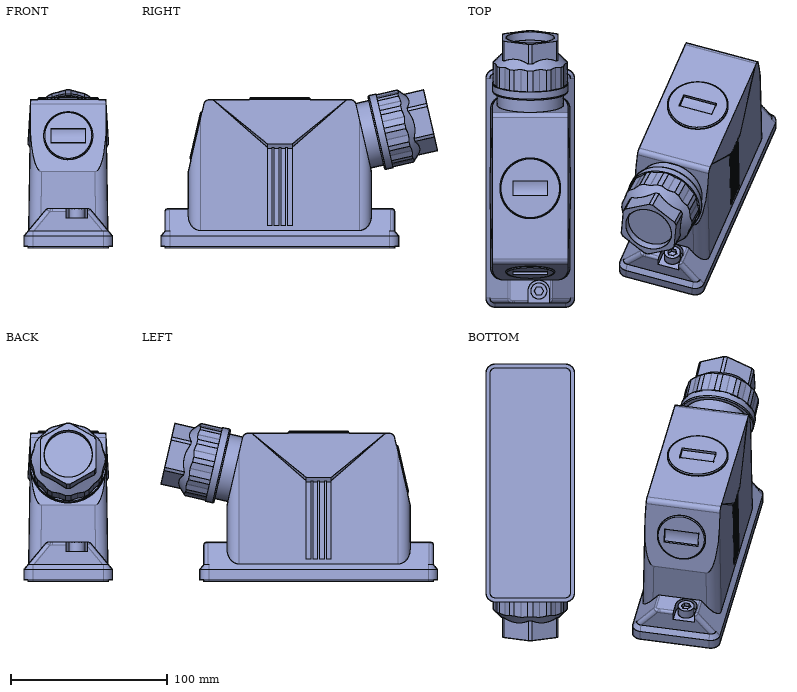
import cadquery as cq
import math

HEX_SIDES = 6

BASE_WIDTH = 57.0
BASE_LENGTH = 152.6
BASE_CORNER_RADIUS = 6.0
BASE_INSET = 2.7
LIP_HEIGHT = 1.0
SLAB_TOP = 7.6
SHOULDER_TOP = 10.8

RIDGE_TOP = 25.2
RIDGE_END_RADIUS = 2.8
RIDGE_TOP_RADIUS = 1.8

SCREW_X = 5.5
SCREW_Y = -65.8
SCREW_TURNS = (0, 180)
SCREW_RADIUS = 5.1
SOCKET_DIAMETER = 6.0
SOCKET_DEPTH = 2.7
POCKET_RADIUS = 7.0
POCKET_FLOOR = 19.2

HOOD_LENGTH = 117.5
HOOD_TOP = 95.1
HOOD_BOTTOM_WIDTH = 51.0
HOOD_TOP_WIDTH = 48.3
HOOD_CORNER_RADIUS = 7.8
END_TILT = 13.0
KNEE_HEIGHT = 49.0
TOP_EDGE_RADIUS = 3.5
PORT_DISTANCE = 23.6

WEDGE_TOP_LENGTH = 85.9
WEDGE_BOTTOM_LENGTH = 16.0
WEDGE_BOTTOM = 66.7
WEDGE_HALF_WIDTH = 26.0
LEDGE_DROP = 2.1
GROOVE_COUNT = 4
GROOVE_WIDTH = 3.0
GROOVE_BOTTOM = 14.5
GROOVE_DEPTH = 0.5

TOP_DISC_DIAMETER = 39.0
TOP_DISC_HEIGHT = 1.2
END_DISC_DIAMETER = 31.6
END_DISC_HEIGHT = 0.9
DISC_CHAMFER = 0.7
SLOT_LENGTH = 22.2
SLOT_WIDTH = 9.4
SLOT_WALL = 1.8
SLOT_DEPTH = 2.7

NECK_RADIUS = 21.3
NECK_LENGTH = 8.5
COLLAR_RADIUS = 24.3
COLLAR_LENGTH = 5.5
COLLAR_BEVEL_DEPTH = 0.5
COLLAR_BEVEL_LENGTH = 0.9
GRIP_RADIUS = 23.8
GRIP_LENGTH = 13.7
GRIP_VALLEY_RADIUS = 23.0
RIB_COUNT = 12
RIB_HALF_ANGLE = 4.0
CONE_LENGTH = 5.9
HEX_FLATS = 35.9
HEX_CORNER_RADIUS = 20.0
GLAND_LENGTH = 44.4
BORE_RADIUS = 15.5
BORE_DEPTH = 5.3

TILT_SIN = math.sin(math.radians(END_TILT))
TILT_COS = math.cos(math.radians(END_TILT))
HOOD_TOP_LENGTH = HOOD_LENGTH - 2 * (HOOD_TOP - KNEE_HEIGHT) * TILT_SIN / TILT_COS
PORT_Y = HOOD_LENGTH / 2 - PORT_DISTANCE * TILT_SIN
PORT_Z = KNEE_HEIGHT + PORT_DISTANCE * TILT_COS


def hood_half_width(z):
    """Distance from the centre plane to a side wall at height z."""
    rise = (z - SHOULDER_TOP) / (HOOD_TOP - SHOULDER_TOP)
    return (HOOD_BOTTOM_WIDTH + rise * (HOOD_TOP_WIDTH - HOOD_BOTTOM_WIDTH)) / 2


def port_plane(side):
    """Plane at the middle of a sloping end, facing outwards; side is +1 for +Y and -1 for -Y."""
    return cq.Plane(
        origin=(0, side * PORT_Y, PORT_Z),
        xDir=(1, 0, 0),
        normal=(0, side * TILT_COS, TILT_SIN),
    )


def turned_about_z(shape, degrees):
    return shape.rotate((0, 0, 0), (0, 0, 1), degrees)


def rounded_block(inset, bottom, top, taper=0):
    """Base outline moved in by inset and extruded between two heights."""
    return (
        cq.Workplane("XY")
        .workplane(offset=bottom)
        .sketch()
        .rect(BASE_WIDTH - 2 * inset, BASE_LENGTH - 2 * inset)
        .vertices()
        .fillet(BASE_CORNER_RADIUS - inset)
        .finalize()
        .extrude(top - bottom, taper=taper)
    )


def base_ridge():
    """Ridge whose flanks continue the slope of the shoulder below."""
    foot = BASE_WIDTH / 2 - BASE_INSET
    crest = foot - (RIDGE_TOP - SHOULDER_TOP) * BASE_INSET / (SHOULDER_TOP - SLAB_TOP)
    length = BASE_LENGTH - 2 * BASE_INSET
    ridge = (
        cq.Workplane("XZ")
        .polyline([(-foot, SHOULDER_TOP), (foot, SHOULDER_TOP), (crest, RIDGE_TOP), (-crest, RIDGE_TOP)])
        .close()
        .extrude(length / 2, both=True)
    )
    ridge = ridge.edges("(not #Z) and (not |X) and (not |Y)").fillet(RIDGE_END_RADIUS)
    return ridge.faces(">Z").edges().fillet(RIDGE_TOP_RADIUS)


def base():
    shoulder_taper = math.degrees(math.atan2(BASE_INSET, SHOULDER_TOP - SLAB_TOP))
    return (
        rounded_block(BASE_INSET, 0, LIP_HEIGHT)
        .union(rounded_block(0, LIP_HEIGHT, SLAB_TOP))
        .union(rounded_block(0, SLAB_TOP, SHOULDER_TOP, shoulder_taper))
        .union(base_ridge())
    )


def screw_pocket():
    """Round-ended pocket, open towards the -Y end of the base."""
    height = RIDGE_TOP - POCKET_FLOOR
    run_out = BASE_LENGTH / 2 + SCREW_Y
    floor = cq.Workplane("XY", origin=(SCREW_X, SCREW_Y, POCKET_FLOOR))
    round_end = floor.circle(POCKET_RADIUS).extrude(height)
    channel = floor.center(0, -run_out / 2).rect(2 * POCKET_RADIUS, run_out).extrude(height)
    return round_end.union(channel)


def hood_shell():
    bottom = hood_half_width(SLAB_TOP)
    top = HOOD_TOP_WIDTH / 2
    block = (
        cq.Workplane("XZ")
        .polyline([(-bottom, SLAB_TOP), (bottom, SLAB_TOP), (top, HOOD_TOP), (-top, HOOD_TOP)])
        .close()
        .extrude(HOOD_LENGTH / 2, both=True)
        .edges("not (|X or |Y)")
        .fillet(HOOD_CORNER_RADIUS)
    )
    end = HOOD_LENGTH / 2
    top_end = HOOD_TOP_LENGTH / 2
    side_outline = (
        cq.Workplane("YZ")
        .polyline(
            [(-end, SLAB_TOP), (end, SLAB_TOP), (end, KNEE_HEIGHT),
             (top_end, HOOD_TOP), (-top_end, HOOD_TOP), (-end, KNEE_HEIGHT)]
        )
        .close()
        .extrude(BASE_WIDTH / 2, both=True)
        .faces(">Z")
        .edges("|X")
        .fillet(TOP_EDGE_RADIUS)
    )
    return block.intersect(side_outline)


def grip_wedge():
    """Wedge on the -X wall that thickens downwards and ends in a sloping ledge."""
    ledge_foot = WEDGE_BOTTOM - LEDGE_DROP
    top_x = -hood_half_width(HOOD_TOP)
    foot_x = -hood_half_width(ledge_foot)

    def pair(x, length, z):
        return [cq.Vector(x, -length / 2, z), cq.Vector(x, length / 2, z)]

    top = pair(top_x, WEDGE_TOP_LENGTH, HOOD_TOP)
    lip = pair(-WEDGE_HALF_WIDTH, WEDGE_BOTTOM_LENGTH, WEDGE_BOTTOM)
    foot = pair(foot_x, WEDGE_BOTTOM_LENGTH, ledge_foot)
    outlines = [
        [top[0], top[1], lip[1], lip[0]],
        [lip[0], lip[1], foot[1], foot[0]],
        [foot[0], foot[1], top[1], top[0]],
        [top[0], lip[0], foot[0]],
        [top[1], foot[1], lip[1]],
    ]
    faces = [cq.Face.makeFromWires(cq.Wire.makePolygon(points, close=True)) for points in outlines]
    return cq.Workplane(cq.Solid.makeSolid(cq.Shell.makeShell(faces)))


def grip_grooves():
    """Shallow upright grooves in the -X wall, following its lean and ending under the wedge."""
    top = WEDGE_BOTTOM
    floor_top = GROOVE_DEPTH - hood_half_width(top)
    floor_bottom = GROOVE_DEPTH - hood_half_width(GROOVE_BOTTOM)
    ledge_slope = LEDGE_DROP / (WEDGE_HALF_WIDTH - hood_half_width(WEDGE_BOTTOM - LEDGE_DROP))
    outer = -WEDGE_HALF_WIDTH
    floor_end = top - ledge_slope * (floor_top - outer)
    pitch = (WEDGE_BOTTOM_LENGTH - GROOVE_WIDTH) / (GROOVE_COUNT - 1)
    grooves = cq.Workplane("XZ")
    for index in range(GROOVE_COUNT):
        center_y = (index - (GROOVE_COUNT - 1) / 2) * pitch
        groove = (
            cq.Workplane("XZ", origin=(0, center_y, 0))
            .polyline(
                [(outer, GROOVE_BOTTOM), (floor_bottom, GROOVE_BOTTOM), (floor_top, floor_end), (outer, top)]
            )
            .close()
            .extrude(GROOVE_WIDTH / 2, both=True)
        )
        grooves = grooves.add(groove)
    return grooves.combine()


def blanking_disc(plane, diameter, height):
    """Low chamfered disc standing on the plane."""
    return (
        cq.Workplane(plane)
        .circle(diameter / 2)
        .extrude(height)
        .faces(cq.selectors.DirectionMinMaxSelector(plane.zDir))
        .edges()
        .chamfer(DISC_CHAMFER)
    )


def coin_slot(plane, height):
    """Slot with a hollowed floor, sunk into a disc of the given height."""
    side = SLOT_WIDTH / 2
    wall_foot = height - SLOT_WALL
    across = cq.Plane(origin=plane.origin, xDir=plane.yDir, normal=plane.xDir)
    return (
        cq.Workplane(across)
        .moveTo(-side, height)
        .lineTo(side, height)
        .lineTo(side, wall_foot)
        .threePointArc((0, height - SLOT_DEPTH), (-side, wall_foot))
        .close()
        .extrude(SLOT_LENGTH / 2, both=True)
    )


def polar(radius, degrees):
    angle = math.radians(degrees)
    return (radius * math.cos(angle), radius * math.sin(angle))


def ribbed_prism(plane, length):
    """Prism with narrow ribs, between which two flats meet in a shallow valley."""
    step = 360 / RIB_COUNT
    points = []
    for index in range(RIB_COUNT):
        points.append(polar(GRIP_RADIUS, index * step - RIB_HALF_ANGLE))
        points.append(polar(GRIP_RADIUS, index * step + RIB_HALF_ANGLE))
        points.append(polar(GRIP_VALLEY_RADIUS, (index + 0.5) * step))
    return cq.Workplane(plane).polyline(points).close().extrude(length)


def rounded_hexagon(plane, length):
    """Hexagon with two flats facing X and its corners rounded to a cylinder."""
    step = 360 / HEX_SIDES
    corner = HEX_FLATS / 2 / math.cos(math.radians(step / 2))
    points = [polar(corner, (index + 0.5) * step) for index in range(HEX_SIDES)]
    hexagon = cq.Workplane(plane).polyline(points).close().extrude(length)
    return hexagon.intersect(cq.Workplane(plane).circle(HEX_CORNER_RADIUS).extrude(length))


def cable_gland():
    """Neck, collar, ribbed grip and hexagon standing on the +Y end, with a blind cable bore."""
    plane = port_plane(1)
    collar_end = NECK_LENGTH + COLLAR_LENGTH
    grip_end = collar_end + GRIP_LENGTH
    cone_end = grip_end + CONE_LENGTH

    half_plane = cq.Plane(origin=plane.origin, xDir=plane.xDir, normal=plane.yDir * -1)

    def turned(profile):
        """Solid of revolution about the gland's axis from (radius, distance along the axis) points."""
        return cq.Workplane(half_plane).polyline(profile).close().revolve(360, (0, 0), (0, 1))

    body = turned([
        (0, 0), (NECK_RADIUS, 0), (NECK_RADIUS, NECK_LENGTH),
        (COLLAR_RADIUS - COLLAR_BEVEL_DEPTH, NECK_LENGTH), (COLLAR_RADIUS, NECK_LENGTH + COLLAR_BEVEL_LENGTH),
        (COLLAR_RADIUS, collar_end), (0, collar_end),
    ])
    grip_envelope = turned([
        (0, 0), (GRIP_RADIUS, 0), (GRIP_RADIUS, grip_end), (HEX_FLATS / 2, cone_end), (0, cone_end),
    ])
    grip_plane = cq.Plane(plane.toWorldCoords((0, 0, collar_end)), plane.xDir, plane.zDir)
    grip = ribbed_prism(grip_plane, cone_end - collar_end).intersect(grip_envelope)
    bore = turned([
        (0, GLAND_LENGTH - BORE_DEPTH), (BORE_RADIUS, GLAND_LENGTH - BORE_DEPTH),
        (BORE_RADIUS, GLAND_LENGTH), (0, GLAND_LENGTH),
    ])
    return body.union(grip).union(rounded_hexagon(plane, GLAND_LENGTH)).cut(bore)


def make_housing():
    pocket = screw_pocket()
    housing = base()
    for turn in SCREW_TURNS:
        housing = housing.cut(turned_about_z(pocket, turn))
    housing = housing.union(hood_shell())
    wedge = grip_wedge()
    grooves = grip_grooves()
    housing = housing.union(wedge).union(wedge.mirror("YZ"))
    housing = housing.cut(grooves).cut(grooves.mirror("YZ"))
    discs = [
        (cq.Plane.XY(origin=(0, 0, HOOD_TOP)), TOP_DISC_DIAMETER, TOP_DISC_HEIGHT),
        (port_plane(-1), END_DISC_DIAMETER, END_DISC_HEIGHT),
    ]
    for plane, diameter, height in discs:
        housing = housing.union(blanking_disc(plane, diameter, height))
        housing = housing.cut(coin_slot(plane, height))
    return housing.union(cable_gland())


def make_screw():
    """Screw head standing on the floor of the -Y pocket, flush with the ridge."""
    head = (
        cq.Workplane("XY", origin=(SCREW_X, SCREW_Y, POCKET_FLOOR))
        .circle(SCREW_RADIUS)
        .extrude(RIDGE_TOP - POCKET_FLOOR)
    )
    return head.faces(">Z").workplane().polygon(HEX_SIDES, SOCKET_DIAMETER).cutBlind(-SOCKET_DEPTH)


housing = make_housing()
screws = [turned_about_z(make_screw(), turn) for turn in SCREW_TURNS]

result = cq.Compound.makeCompound(
    [housing.solids().val(), *[screw.solids().val() for screw in screws]]
)